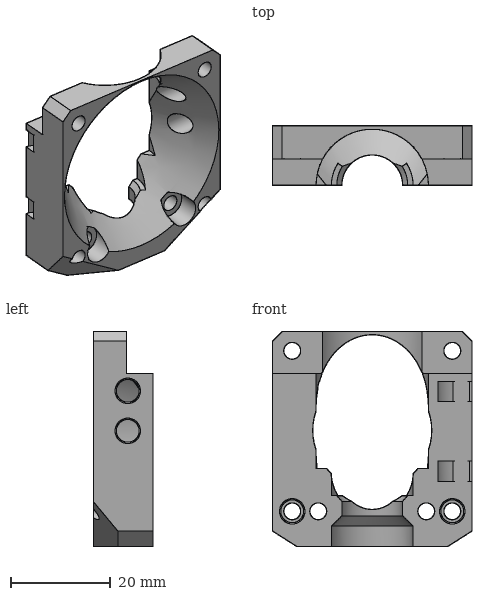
import cadquery as cq
import math

WIDTH, DEPTH, HEIGHT = 40.0, 12.0, 43.1
HALF_WIDTH = WIDTH / 2
TOP_CHAMFER = 1.95
BEVEL_X, BEVEL_Z = 4.85, 3.1
REAR_BEVEL_Y = 7.05
REAR_BEVEL_RISE = 5.9
STEP_DEPTH, STEP_Z = 5.3, 34.7

BARREL_R, BARREL_FLOOR = 11.25, 15.7
SOCKET_R, SOCKET_FLOOR = 8.2, 10.2
COLLAR_R, COLLAR_TOP, COLLAR_BOTTOM = 6.08, 9.05, 6.15
COLLAR_MOUTH_R = 7.1
SOCKET_LOWER_TOP = 4.1

CONE_Z, CONE_FRONT_R, CONE_BACK_R = 23.27, 11.9, 19.6

SCREW_D, INSERT_D = 3.3, 4.55
INSERT_CHAMFER = 0.25
INSERT_DEPTH = 6.05
REAR_BORE_D, REAR_BORE_DEPTH = 5.8, 4.53
SCREW_X, INNER_SCREW_X = 16.05, 10.8
SCREW_TOP_Z, SCREW_BOTTOM_Z = 39.2, 7.05
SIDE_HOLE_Y, SIDE_HOLE_ZS = 5.1, (31.2, 23.2)

STRAP_X = 17.8
STRAP_INNER_R = 2.9
STRAP_INNER_HALF_CHORD = 1.65
STRAP_OUTER_HALF_CHORD = 4.65
STRAP_WIDTH, STRAP_BOTTOMS = 4.05, (13.05, 29.05)


def make_body():
    body = (
        cq.Workplane("XY")
        .box(WIDTH, DEPTH, HEIGHT, centered=(True, False, False))
        .edges("|Y and >Z").chamfer(TOP_CHAMFER)
    )
    step = (
        cq.Workplane("XY", origin=(0, 0, STEP_Z))
        .box(WIDTH, STEP_DEPTH, HEIGHT - STEP_Z, centered=(True, False, False))
    )
    body = body.cut(step)
    for side in (-1, 1):
        body = body.cut(lower_corner_cut(side))
    return body


def corner_triangle(plane, side, height):
    """Triangle at a lower corner whose long side has the slope of the bevel."""
    run = height * BEVEL_X / BEVEL_Z
    return (
        plane
        .moveTo(side * HALF_WIDTH, 0)
        .lineTo(side * HALF_WIDTH, height)
        .lineTo(side * (HALF_WIDTH - run), 0)
        .close()
    )


def lower_corner_cut(side):
    """Straight bevel in front, leaning further inward toward the back."""
    front = corner_triangle(cq.Workplane("XZ"), side, BEVEL_Z).extrude(-DEPTH)
    rear_plane = cq.Workplane("XZ", origin=(0, REAR_BEVEL_Y, 0))
    rear_start = corner_triangle(rear_plane, side, BEVEL_Z)
    back_plane = rear_start.workplane(offset=REAR_BEVEL_Y - DEPTH)
    rear = corner_triangle(back_plane, side, BEVEL_Z + REAR_BEVEL_RISE).loft(ruled=True)
    return front.union(rear)


def vertical_bore():
    profile = [
        (0, 0), (SOCKET_R, 0), (SOCKET_R, SOCKET_LOWER_TOP),
        (COLLAR_R, COLLAR_BOTTOM), (COLLAR_R, COLLAR_TOP),
        (COLLAR_MOUTH_R, SOCKET_FLOOR), (SOCKET_R, SOCKET_FLOOR),
        (SOCKET_R, BARREL_FLOOR), (BARREL_R, BARREL_FLOOR),
        (BARREL_R, HEIGHT), (0, HEIGHT),
    ]
    return cq.Workplane("XZ").polyline(profile).close().revolve(360, (0, 0, 0), (0, 1, 0))


def cone_opening():
    cone = cq.Solid.makeCone(
        CONE_FRONT_R, CONE_BACK_R, DEPTH, cq.Vector(0, 0, CONE_Z), cq.Vector(0, 1, 0)
    )
    return cq.Workplane(cone)


def cylinder(diameter, length, start, direction):
    return cq.Workplane(
        cq.Solid.makeCylinder(diameter / 2, length, cq.Vector(*start), cq.Vector(*direction))
    )


def insert_hole(depth, start, direction):
    mouth = cq.Solid.makeCone(
        INSERT_D / 2 + INSERT_CHAMFER, INSERT_D / 2, INSERT_CHAMFER,
        cq.Vector(*start), cq.Vector(*direction)
    )
    return cylinder(INSERT_D, depth, start, direction).union(cq.Workplane(mouth))


def strap_slot(bottom):
    centre_y = -math.sqrt(STRAP_INNER_R ** 2 - STRAP_INNER_HALF_CHORD ** 2)
    outer_r = math.hypot(STRAP_OUTER_HALF_CHORD, centre_y)
    return (
        cq.Workplane("XY", origin=(STRAP_X, centre_y, bottom))
        .circle(outer_r).circle(STRAP_INNER_R).extrude(STRAP_WIDTH)
    )


result = make_body().cut(vertical_bore()).cut(cone_opening())

for side in (-1, 1):
    for x, z in (
        (SCREW_X, SCREW_TOP_Z), (SCREW_X, SCREW_BOTTOM_Z), (INNER_SCREW_X, SCREW_BOTTOM_Z)
    ):
        result = result.cut(cylinder(SCREW_D, DEPTH, (side * x, 0, z), (0, 1, 0)))
    rear_start = (side * INNER_SCREW_X, DEPTH, SCREW_BOTTOM_Z)
    result = result.cut(cylinder(REAR_BORE_D, REAR_BORE_DEPTH, rear_start, (0, -1, 0)))
    insert_start = (side * SCREW_X, 0, SCREW_BOTTOM_Z)
    result = result.cut(insert_hole(INSERT_DEPTH, insert_start, (0, 1, 0)))

for z in SIDE_HOLE_ZS:
    result = result.cut(insert_hole(HALF_WIDTH, (-HALF_WIDTH, SIDE_HOLE_Y, z), (1, 0, 0)))

for bottom in STRAP_BOTTOMS:
    result = result.cut(strap_slot(bottom))